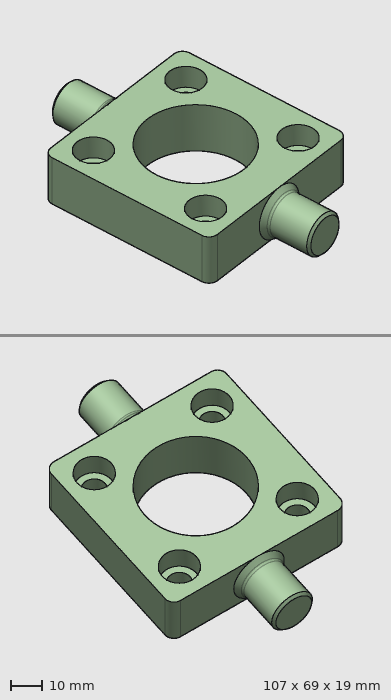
import cadquery as cq
import math

overall_length = 107.0
plate_side = 69.0
plate_thickness = 19.0
corner_radius = 3.5
bore_diameter = 40.0

hole_spacing = 46.4
hole_diameter = 8.5
counterbore_diameter = 13.5
counterbore_depth = 8.6

pin_radius = 8.0
pin_chamfer = 1.0
flare_radius = 10.0
flare_length = 2.4
flare_blend_radius = 1.5

half_side = plate_side / 2
half_length = overall_length / 2
plate_top = flare_radius
plate_bottom = plate_top - plate_thickness


def make_plate():
    plate = (
        cq.Workplane("XY", origin=(0, 0, plate_bottom))
        .rect(plate_side, plate_side)
        .extrude(plate_thickness)
        .edges("|Z")
        .fillet(corner_radius)
    )
    plate = plate.faces(">Z").workplane(origin=(0, 0, plate_top)).hole(bore_diameter)
    return (
        plate.faces(">Z")
        .workplane(origin=(0, 0, plate_top))
        .rect(hole_spacing, hole_spacing, forConstruction=True)
        .vertices()
        .cboreHole(hole_diameter, counterbore_diameter, counterbore_depth)
    )


def make_pin():
    """Revolve the +X pin, blending the flare tangentially into the cylinder."""
    flare_angle = math.atan2(flare_radius - pin_radius, flare_length)
    tangent_length = flare_blend_radius * math.tan(flare_angle / 2)
    corner_x = half_side + flare_length
    blend_start = (
        corner_x - tangent_length * math.cos(flare_angle),
        pin_radius + tangent_length * math.sin(flare_angle),
    )
    blend_end = (corner_x + tangent_length, pin_radius)
    blend_middle = (
        blend_end[0] - flare_blend_radius * math.sin(flare_angle / 2),
        pin_radius + flare_blend_radius * (1 - math.cos(flare_angle / 2)),
    )
    return (
        cq.Workplane("XY")
        .moveTo(half_side, 0)
        .lineTo(half_side, flare_radius)
        .lineTo(*blend_start)
        .threePointArc(blend_middle, blend_end)
        .lineTo(half_length - pin_chamfer, pin_radius)
        .lineTo(half_length, pin_radius - pin_chamfer)
        .lineTo(half_length, 0)
        .close()
        .revolve(360, (0, 0, 0), (1, 0, 0))
    )


def trim_below_plate(pin):
    """Cut the flare flush with the underside of the plate."""
    waste = cq.Workplane("XY", origin=(0, 0, plate_bottom)).rect(
        2 * overall_length, plate_side
    ).extrude(-plate_thickness)
    return pin.cut(waste)


right_pin = trim_below_plate(make_pin())
left_pin = right_pin.mirror("YZ")
result = make_plate().union(right_pin).union(left_pin)